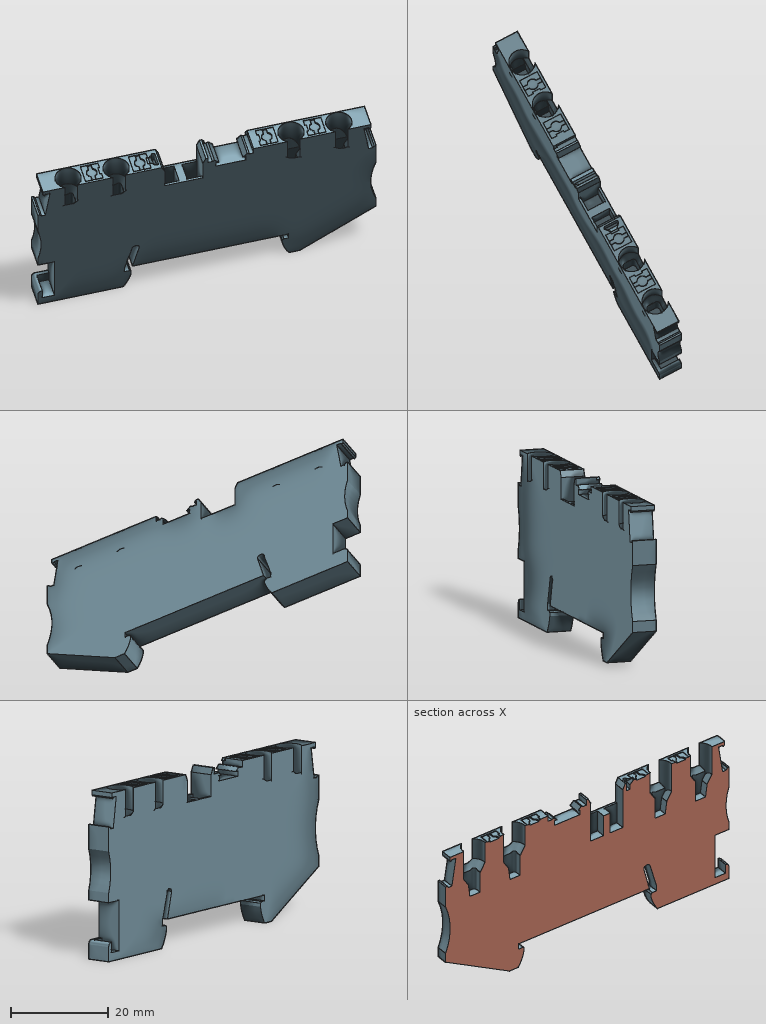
import cadquery as cq

WIDTH = 5.15
LENGTH = 72.2
HEIGHT = 35.25

LIP_INSET = 1.1
LIP_TIP_INSET = 1.4
LIP_BACK_INSET = 1.65
RECESS_TOP_INSET = 2.6
RECESS_BOTTOM_INSET = 1.6
LIP_UNDERSIDE_Z = 34.3
LIP_TIP_Z = 34.0
RECESS_FLOOR_Z = 27.8
END_TOP_Z = 28.25
END_TOP_FLAT = 0.4
END_SLOPE_INSET = 0.8

HOLLOW_TOP_Z = 23.1
NEAR_HOLLOW_BOTTOM_Z = 14.4
NEAR_HOLLOW_DEPTH = 0.7
FAR_HOLLOW_BOTTOM_Z = 11.4
FAR_HOLLOW_DEPTH = 1.15

END_SLOT_DEPTH = 3.55
END_SLOT_BOTTOM_Z = 4.0
END_SLOT_TOP_Z = 12.4
END_SLOT_ROUND = 0.95
TROUGH_SIDE_WALL = 0.8
TROUGH_DEPTH = 2.2

RAIL_Z = 5.9
RAIL_LIP_Z = 4.7
RAIL_FAR_Y = 53.5
FAR_CLAW_TIP_Y = 52.15
FAR_CLAW_BOTTOM_Y = 53.6
FAR_RAMP_BOTTOM_Y = 55.9
FAR_RAMP_TOP_Z = 9.1
CLAW_TIP_LOW_Z = 3.6
CLAW_TIP_HIGH_Z = 4.4
CLAW_TIP_ROUND = 0.35
CLAW_BULGE = 0.2
NEAR_CLAW_TIP_Y = 19.9
NEAR_CLAW_BOTTOM_Y = 18.2
SLIT_MOUTH_NEAR_Y = 18.5
SLIT_MOUTH_FAR_Y = 20.2
SLIT_TOP_NEAR_Y = 20.1
SLIT_TOP_FAR_Y = 21.65
SLIT_SIDE_TOP_Z = 11.5
SLIT_TOP_Z = 12.2

GAP_NEAR_Y = 27.1
GAP_FAR_Y = 35.2
GAP_FLOOR_Z = 29.35
GAP_BEVEL_Z = 33.9
GAP_BEVEL_RUN = 0.65
GAP_POCKET_LENGTH = 3.2
GAP_POCKET_DEPTH = 5.0

SEAT_MIDDLE_Y = 41.2
SEAT_FLOOR_Z = 32.2
SEAT_FLOOR_HALF = 3.2
STEP_TIP_HALF = 2.55
STEP_TIP_Z = 33.25
STEP_CREST_HALF = 3.5
STEP_CREST_Z = 34.15
GROOVE_INNER_HALF = 3.95
GROOVE_Z = 33.9
SEAT_TOP_HALF = 4.85
NOSE_TIP_HALF = 4.4
NOSE_TIP_Z = 34.75
NOSE_WIDTH = 0.7
NOSE_ROOT_OVERLAP = 0.3

ENTRY_X = 2.8
ENTRY_RADIUS = 2.7
ENTRY_YS = (64.85, 54.65, 17.35, 7.1)
ENTRY_STRAIGHT_DEPTH = 5.0
ENTRY_FUNNEL_DEPTH = 2.0
THROAT_HALF_WIDTH = 1.5
THROAT_REACH = 1.4
THROAT_CORNER = 0.8
THROAT_DEPTH = 5.0
RAMP_DEPTH = 2.0
RAMP_END_REACH = 1.45
THROAT_END_REACH = 1.05
BUTTON_OFFSET = 5.1
BUTTON_X = WIDTH / 2
BUTTON_WIDTH = 4.1
BUTTON_LENGTH = 3.75
BUTTON_RECESS = 0.1
BUTTON_NOTCH_WIDTH = 1.7
BUTTON_NOTCH_DEPTH = 0.35
DRIVER_RADIUS = 1.1
DRIVER_SLOT_WIDTH = 0.85
DRIVER_DEPTH = 0.4

TEST_WIDTH = 3.2
TEST_FAR_Y = 26.05
TEST_LENGTH = 0.8
TEST_CORNER = 0.35
TEST_DEPTH = 2.0
TEST_POINT_Y = 24.4
TEST_POINT_WIDTH = 1.3
TEST_RAMP_BASE_WIDTH = 2.6


def end_recess_points():
    """(inset, z) points of the upper end recess, from the end face up to the top."""
    return [
        (0, END_TOP_Z),
        (END_TOP_FLAT, END_TOP_Z),
        (END_SLOPE_INSET, RECESS_FLOOR_Z),
        (RECESS_BOTTOM_INSET, RECESS_FLOOR_Z),
        (RECESS_TOP_INSET, LIP_UNDERSIDE_Z),
        (LIP_BACK_INSET, LIP_UNDERSIDE_Z),
        (LIP_TIP_INSET, LIP_TIP_Z),
        (LIP_INSET, LIP_UNDERSIDE_Z),
        (LIP_INSET, HEIGHT),
    ]


def seat_wall_points():
    """(distance from seat middle, z) points of one stepped seat wall, top to floor."""
    return [
        (SEAT_TOP_HALF, HEIGHT),
        (SEAT_TOP_HALF, GROOVE_Z),
        (GROOVE_INNER_HALF, GROOVE_Z),
        (STEP_CREST_HALF, STEP_CREST_Z),
        (STEP_TIP_HALF, STEP_TIP_Z),
        (SEAT_FLOOR_HALF, STEP_TIP_Z),
        (SEAT_FLOOR_HALF, SEAT_FLOOR_Z),
    ]


def line_through(outline, points):
    for point in points:
        outline = outline.lineTo(*point)
    return outline


def body():
    near_recess = end_recess_points()
    far_recess = [(LENGTH - inset, z) for inset, z in reversed(near_recess)]
    near_wall = [(SEAT_MIDDLE_Y - half, z) for half, z in seat_wall_points()]
    far_wall = [(SEAT_MIDDLE_Y + half, z) for half, z in reversed(seat_wall_points())]

    outline = cq.Workplane("YZ").moveTo(NEAR_CLAW_BOTTOM_Y, 0).lineTo(0, 0)
    outline = outline.lineTo(0, END_SLOT_BOTTOM_Z - END_SLOT_ROUND)
    outline = outline.radiusArc((END_SLOT_ROUND, END_SLOT_BOTTOM_Z), END_SLOT_ROUND)
    outline = line_through(outline, [
        (END_SLOT_DEPTH, END_SLOT_BOTTOM_Z),
        (END_SLOT_DEPTH, END_SLOT_TOP_Z),
        (0, END_SLOT_TOP_Z),
        (0, NEAR_HOLLOW_BOTTOM_Z),
    ])
    outline = outline.sagittaArc((0, HOLLOW_TOP_Z), -NEAR_HOLLOW_DEPTH)
    outline = line_through(outline, near_recess)
    outline = line_through(outline, [
        (GAP_NEAR_Y - GAP_BEVEL_RUN, HEIGHT),
        (GAP_NEAR_Y, GAP_BEVEL_Z),
        (GAP_NEAR_Y, GAP_FLOOR_Z),
        (GAP_FAR_Y, GAP_FLOOR_Z),
        (GAP_FAR_Y, GAP_BEVEL_Z),
        (GAP_FAR_Y + GAP_BEVEL_RUN, HEIGHT),
    ])
    outline = line_through(outline, near_wall + far_wall + far_recess)
    outline = outline.lineTo(LENGTH, HOLLOW_TOP_Z)
    outline = outline.sagittaArc((LENGTH, FAR_HOLLOW_BOTTOM_Z), -FAR_HOLLOW_DEPTH)
    outline = line_through(outline, [
        (LENGTH, FAR_RAMP_TOP_Z),
        (FAR_RAMP_BOTTOM_Y, 0),
        (FAR_CLAW_BOTTOM_Y, 0),
    ])
    outline = outline.sagittaArc((FAR_CLAW_TIP_Y, CLAW_TIP_LOW_Z), CLAW_BULGE)
    outline = line_through(outline, [
        (FAR_CLAW_TIP_Y, CLAW_TIP_HIGH_Z),
        (FAR_CLAW_TIP_Y + CLAW_TIP_ROUND, RAIL_LIP_Z),
        (RAIL_FAR_Y, RAIL_LIP_Z),
        (RAIL_FAR_Y, RAIL_Z),
        (SLIT_MOUTH_FAR_Y, RAIL_Z),
        (SLIT_TOP_FAR_Y, SLIT_SIDE_TOP_Z),
    ])
    slit_middle = (SLIT_TOP_NEAR_Y + SLIT_TOP_FAR_Y) / 2
    outline = outline.threePointArc((slit_middle, SLIT_TOP_Z), (SLIT_TOP_NEAR_Y, SLIT_SIDE_TOP_Z))
    outline = line_through(outline, [
        (SLIT_MOUTH_NEAR_Y, RAIL_Z),
        (SLIT_MOUTH_NEAR_Y, RAIL_LIP_Z),
        (NEAR_CLAW_TIP_Y - CLAW_TIP_ROUND, RAIL_LIP_Z),
        (NEAR_CLAW_TIP_Y, CLAW_TIP_HIGH_Z),
        (NEAR_CLAW_TIP_Y, CLAW_TIP_LOW_Z),
    ])
    outline = outline.sagittaArc((NEAR_CLAW_BOTTOM_Y, 0), CLAW_BULGE)
    return outline.close().extrude(WIDTH)


def seat_nose(side):
    """Small hook at the -X face above the seat groove; side is -1 near, +1 far."""
    wall_y = SEAT_MIDDLE_Y + side * SEAT_TOP_HALF
    tip_y = SEAT_MIDDLE_Y + side * NOSE_TIP_HALF
    root_y = wall_y + side * NOSE_ROOT_OVERLAP
    return (
        cq.Workplane("YZ")
        .polyline([(root_y, HEIGHT), (wall_y, HEIGHT), (tip_y, NOSE_TIP_Z), (root_y, NOSE_TIP_Z)])
        .close()
        .extrude(NOSE_WIDTH)
    )


def half_round(plane, radius):
    """Outline with a half-round -Y end, running straight out past the shaft at +Y."""
    return (
        plane
        .moveTo(-radius, 0)
        .threePointArc((0, -radius), (radius, 0))
        .lineTo(radius, 2 * ENTRY_RADIUS)
        .lineTo(-radius, 2 * ENTRY_RADIUS)
        .close()
    )


def wire_entry_tool():
    """Wire entry on the Z axis, rounded towards -Y and ramped on its +Y side.

    A round shaft leads to a funnel, then to a throat of constant width whose
    +Y side is a ramp followed by a steeper end wall.
    """
    funnel_top = HEIGHT - ENTRY_STRAIGHT_DEPTH
    funnel_bottom = funnel_top - ENTRY_FUNNEL_DEPTH
    floor = funnel_bottom - THROAT_DEPTH

    bore = cq.Workplane("XY", origin=(0, 0, floor)).circle(ENTRY_RADIUS).extrude(HEIGHT - floor)
    shaft = cq.Workplane("XY", origin=(0, 0, funnel_top)).circle(ENTRY_RADIUS)
    shaft = shaft.extrude(ENTRY_STRAIGHT_DEPTH)

    funnel = half_round(cq.Workplane("XY", origin=(0, 0, funnel_top)), ENTRY_RADIUS)
    funnel = funnel.workplane(offset=-ENTRY_FUNNEL_DEPTH)
    funnel = half_round(funnel, THROAT_HALF_WIDTH).loft(ruled=True)

    throat_length = THROAT_REACH + 2 * ENTRY_RADIUS
    throat = (
        cq.Workplane("XY", origin=(0, throat_length / 2 - THROAT_REACH, floor))
        .rect(2 * THROAT_HALF_WIDTH, throat_length)
        .extrude(funnel_top - floor)
        .edges("|Z and <Y")
        .fillet(THROAT_CORNER)
    )
    ramp = (
        cq.Workplane("YZ", origin=(-ENTRY_RADIUS, 0, 0))
        .polyline([
            (ENTRY_RADIUS, funnel_bottom),
            (RAMP_END_REACH, funnel_bottom - RAMP_DEPTH),
            (THROAT_END_REACH, floor),
            (2 * ENTRY_RADIUS, floor),
            (2 * ENTRY_RADIUS, funnel_bottom),
        ])
        .close()
        .extrude(2 * ENTRY_RADIUS)
    )
    return shaft.union(funnel.union(throat.cut(ramp)).intersect(bore))


def push_button_tool():
    """Shallow recess, notched on its -Y edge, with a round and slotted driver seat."""
    recess = cq.Workplane("XY", origin=(0, 0, HEIGHT - BUTTON_RECESS))
    notch = (
        recess.center(0, (BUTTON_NOTCH_DEPTH - BUTTON_LENGTH) / 2)
        .rect(BUTTON_NOTCH_WIDTH, BUTTON_NOTCH_DEPTH)
        .extrude(BUTTON_RECESS)
    )
    recess = recess.rect(BUTTON_WIDTH, BUTTON_LENGTH).extrude(BUTTON_RECESS).cut(notch)
    seat = cq.Workplane("XY", origin=(0, 0, HEIGHT - DRIVER_DEPTH))
    round_seat = seat.circle(DRIVER_RADIUS).extrude(DRIVER_DEPTH)
    slot_seat = seat.rect(BUTTON_WIDTH, DRIVER_SLOT_WIDTH).extrude(DRIVER_DEPTH)
    return recess.union(round_seat).union(slot_seat)


def connection(entry_y):
    """Wire entry with its push button on the side towards the middle of the part."""
    entry = wire_entry_tool()
    button = push_button_tool()
    button_y = entry_y - BUTTON_OFFSET
    if entry_y < LENGTH / 2:
        entry = entry.mirror("XZ")
        button = button.mirror("XZ")
        button_y = entry_y + BUTTON_OFFSET
    return entry.translate((ENTRY_X, entry_y, 0)).union(button.translate((BUTTON_X, button_y, 0)))


def end_trough():
    """Trough in the floor of the end slot, open at +X, leaving a half-rounded bar along the end."""
    return cq.Workplane("XY").box(
        WIDTH - TROUGH_SIDE_WALL, END_SLOT_DEPTH - END_SLOT_ROUND, TROUGH_DEPTH, centered=False
    ).translate((TROUGH_SIDE_WALL, END_SLOT_ROUND, END_SLOT_BOTTOM_Z - TROUGH_DEPTH))


def gap_pocket(low_y):
    """Rectangular pocket in the floor of the bridge gap."""
    return cq.Workplane("XY").box(
        BUTTON_WIDTH, GAP_POCKET_LENGTH, GAP_POCKET_DEPTH, centered=(True, False, False)
    ).translate((BUTTON_X, low_y, GAP_FLOOR_Z - GAP_POCKET_DEPTH))


def test_opening():
    """Vertical opening with a 45 degree ramp that narrows towards the near end."""
    low_y = TEST_FAR_Y - TEST_LENGTH
    ramp_depth = low_y - TEST_POINT_Y
    shaft = (
        cq.Workplane("XY")
        .box(TEST_WIDTH, TEST_LENGTH, TEST_DEPTH, centered=(True, False, False))
        .edges("|Z")
        .fillet(TEST_CORNER)
        .translate((BUTTON_X, low_y, HEIGHT - TEST_DEPTH))
    )
    funnel = (
        cq.Workplane("XY", origin=(BUTTON_X, 0, HEIGHT - ramp_depth))
        .polyline([
            (-TEST_RAMP_BASE_WIDTH / 2, low_y),
            (-TEST_POINT_WIDTH / 2, TEST_POINT_Y),
            (TEST_POINT_WIDTH / 2, TEST_POINT_Y),
            (TEST_RAMP_BASE_WIDTH / 2, low_y),
        ])
        .close()
        .extrude(ramp_depth)
    )
    ramp_space = (
        cq.Workplane("YZ")
        .polyline([(TEST_POINT_Y, HEIGHT), (low_y, HEIGHT - ramp_depth), (low_y, HEIGHT)])
        .close()
        .extrude(WIDTH)
    )
    return shaft.union(funnel.intersect(ramp_space))


result = body()
for side in (-1, 1):
    result = result.union(seat_nose(side))
for entry_y in ENTRY_YS:
    result = result.cut(connection(entry_y))
for pocket_y in (GAP_NEAR_Y, GAP_FAR_Y - GAP_POCKET_LENGTH):
    result = result.cut(gap_pocket(pocket_y))
result = result.cut(test_opening())
result = result.cut(end_trough())